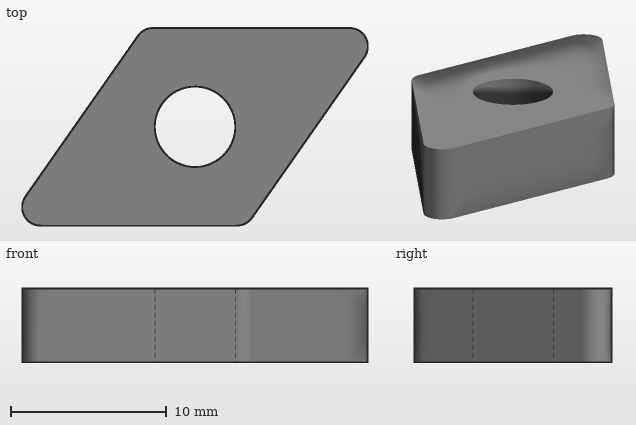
import cadquery as cq
import math

overall_length = 22.2
width = 12.7
thickness = 4.75
hole_diameter = 5.15
acute_angle = math.radians(55)

half_width = width / 2
half_side = half_width / math.sin(acute_angle)
slant_offset = half_width / math.tan(acute_angle)
sharp_tip_x = half_side + slant_offset
obtuse_corner_x = half_side - slant_offset

trim_per_radius = 1 / math.tan(acute_angle / 2) - 1
corner_radius = (sharp_tip_x - overall_length / 2) / trim_per_radius

corners = [
    (sharp_tip_x, half_width),
    (-obtuse_corner_x, half_width),
    (-sharp_tip_x, -half_width),
    (obtuse_corner_x, -half_width),
]

plate = cq.Workplane("XY").polyline(corners).close().extrude(thickness)
plate = plate.edges("|Z").fillet(corner_radius)

result = plate.faces(">Z").workplane(origin=(0, 0, thickness)).hole(hole_diameter)